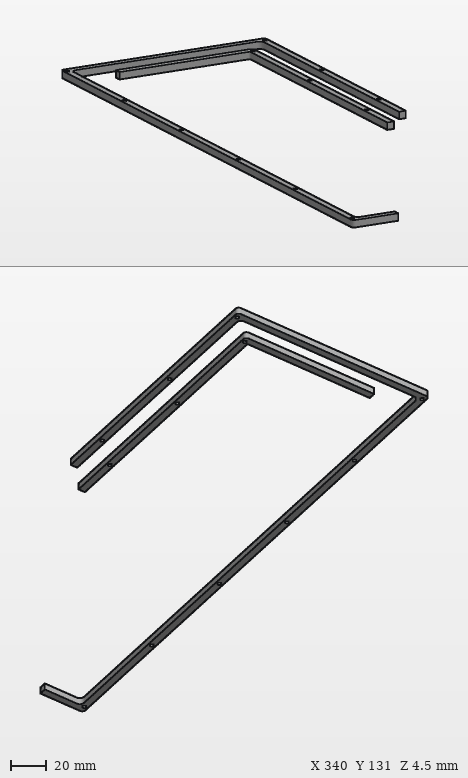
import cadquery as cq

length = 340.0
depth = 131.0
bar = 4.5
outside_radius = 2.0
outer_rail_inside_radius = 3.0
inner_rail_inside_radius = 1.0

outer_arm_end = 164.2
return_end = 29.2

inner_left = 15.3
inner_rear = 115.0
inner_arm_end = 179.5
inner_leg_end = 27.0

hole_diameter = 2.2
hole_inset = 3.7
last_hole_inset = 4.5
rear_hole_count = 3
front_hole_count = 6
hole_pitch = (length - hole_inset - last_hole_inset) / (front_hole_count - 1)


def round_bends(rail, bends, radius):
    """Round the vertical edges of a rail at the listed bend corners."""
    reach = bar / 4
    for x, y in bends:
        corner = cq.selectors.BoxSelector((x - reach, y - reach, -bar), (x + reach, y + reach, 2 * bar))
        rail = rail.edges("|Z").edges(corner).fillet(radius)
    return rail


def extrude_rail(outline, outside_bends, inside_bends, inside_radius):
    """Extrude an outline to the bar height and round its bends."""
    rail = cq.Workplane("XY").polyline(outline).close().extrude(bar)
    rail = round_bends(rail, outside_bends, outside_radius)
    return round_bends(rail, inside_bends, inside_radius)


def drill_row(rail, left, center_y, count):
    """Drill a row of evenly spaced through holes starting near the left face."""
    points = [(left + hole_inset + i * hole_pitch, center_y) for i in range(count)]
    holes = cq.Workplane("XY").pushPoints(points).circle(hole_diameter / 2).extrude(bar)
    return rail.cut(holes)


def make_outer_rail():
    outside_bends = [(0, depth), (0, 0), (length, 0)]
    inside_bends = [(length - bar, bar), (bar, bar), (bar, depth - bar)]
    outline = [
        (outer_arm_end, depth),
        *outside_bends,
        (length, return_end),
        (length - bar, return_end),
        *inside_bends,
        (outer_arm_end, depth - bar),
    ]
    rail = extrude_rail(outline, outside_bends, inside_bends, outer_rail_inside_radius)
    rail = drill_row(rail, 0, depth - bar / 2, rear_hole_count)
    return drill_row(rail, 0, bar / 2, front_hole_count)


def make_inner_rail():
    outside_bend = (inner_left, inner_rear)
    inside_bend = (inner_left + bar, inner_rear - bar)
    outline = [
        (inner_arm_end, inner_rear),
        outside_bend,
        (inner_left, inner_leg_end),
        (inner_left + bar, inner_leg_end),
        inside_bend,
        (inner_arm_end, inner_rear - bar),
    ]
    rail = extrude_rail(outline, [outside_bend], [inside_bend], inner_rail_inside_radius)
    return drill_row(rail, inner_left, inner_rear - bar / 2, rear_hole_count)


outer_rail = make_outer_rail()
inner_rail = make_inner_rail()
result = cq.Compound.makeCompound([outer_rail.val(), inner_rail.val()])